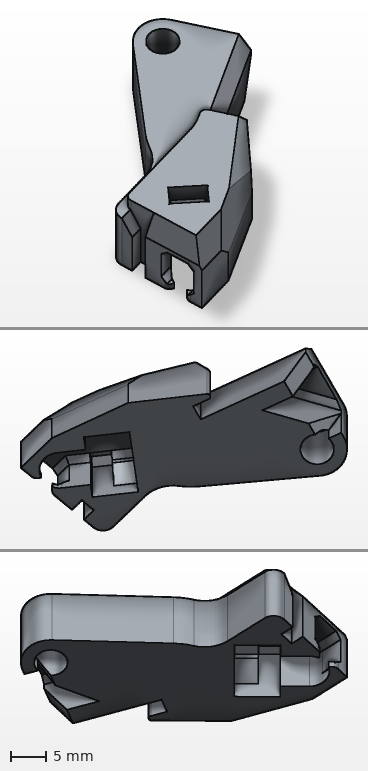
import cadquery as cq
import math


arm_height = 10.0
block_height = 12.0
arm_tilt = 20.0
bevel_angle = 58.0
steep_bevel_angle = 73.5
cutter_size = 80.0

pivot_radius = 4.25
pivot_hole_diameter = 4.75
arm_width = 11.8
arm_bevel_run = 1.8
lower_edge_angle = 48.5
elbow_start = (8.22, -15.68)
elbow_middle = (10.45, -17.64)
left_x = 12.83
elbow_end_y = -21.82
bottom_y = -30.66
stub_right_x = 16.65
stub_radius = 2.0

pocket_left_u = 0.8
pocket_right_u = 9.1
pocket_height = 7.8
undercut_height = 5.95
undercut_angle = 60.0

block_left_x = 13.95
block_left_u = 9.2
block_end_v = -12.47
block_front_y = -28.6
block_corner_radius = 1.0
block_bend_radius = 6.5
notch_right_x = 18.95
right_x = 28.82
outer_u = 18.8
tab_left_u = 14.16
tab_tip_radius = 0.44
tab_edge_angle = 130.0
outer_corner = (24.7, -12.72)
right_bevel_run = 2.5
outer_bevel_run = 1.78
diagonal_bevel_start = (18.1, -6.86)
diagonal_bevel_angle = 30.0

channel_x = 24.55
channel_width = 5.65
channel_bottom = 1.1
channel_top = 7.86
channel_chamfer = 1.0
channel_angle = 130.0
channel_overrun = 5.0
slot_width = 2.1
slot_mouth_radius = 1.2

window_center = (20.92, -22.93)
window_length = 5.6
tie_width = 3.1
saddle_height = 9.2
saddle_length = 4.8
saddle_drop = 0.6
tie_leg = 2.0


def from_arm(u, v):
    """XY position of a point given in the arm frame."""
    angle = math.radians(arm_tilt)
    return (
        u * math.cos(angle) - v * math.sin(angle),
        u * math.sin(angle) + v * math.cos(angle),
    )


def on_arm_line(u, x):
    """Point at the given x on the line of constant u."""
    angle = math.radians(arm_tilt)
    return (x, (u - x * math.cos(angle)) / math.sin(angle))


def polar(radius, degrees):
    """XY position at a radius and a heading about the origin."""
    angle = math.radians(degrees)
    return (radius * math.cos(angle), radius * math.sin(angle))


def bevel(point, height, facing, slope):
    """Cutter for all that lies above a sloped plane through a point, facing outward."""
    out_x, out_y = polar(1.0, facing)
    rise = math.radians(slope)
    plane = cq.Plane(
        origin=(point[0], point[1], height),
        xDir=(-out_y, out_x, 0),
        normal=(out_x * math.sin(rise), out_y * math.sin(rise), math.cos(rise)),
    )
    return cq.Workplane(plane).rect(cutter_size, cutter_size).extrude(cutter_size)


def make_arm():
    """Arm with its rounded pivot end, elbow and stub, bevelled along the right side."""
    lower_tangent = polar(pivot_radius, 270.0 - lower_edge_angle)
    upper_tangent = polar(pivot_radius, 90.0 + arm_tilt)
    arm = (
        cq.Workplane("XY")
        .moveTo(*upper_tangent)
        .threePointArc(polar(pivot_radius, 180.0), lower_tangent)
        .lineTo(*elbow_start)
        .tangentArcPoint(elbow_middle, relative=False)
        .tangentArcPoint((left_x, elbow_end_y), relative=False)
        .lineTo(left_x, bottom_y + stub_radius)
        .radiusArc((left_x + stub_radius, bottom_y), -stub_radius)
        .lineTo(stub_right_x, bottom_y)
        .lineTo(*on_arm_line(arm_width, stub_right_x))
        .lineTo(*from_arm(arm_width, pivot_radius))
        .close()
        .extrude(arm_height)
    )
    arm_bevel_start = from_arm(arm_width - arm_bevel_run, 0)
    arm = arm.cut(bevel(arm_bevel_start, arm_height, arm_tilt, bevel_angle))
    stub_bevel_start = (stub_right_x - arm_bevel_run, bottom_y)
    return arm.cut(bevel(stub_bevel_start, arm_height, 0, bevel_angle))


def tab_apex():
    """Sharp tip of the tab, where its inner side meets the outer edge of the block."""
    edge_x, edge_y = polar(1.0, tab_edge_angle)
    across_x, across_y = polar(1.0, arm_tilt)
    corner_u = outer_corner[0] * across_x + outer_corner[1] * across_y
    distance = (tab_left_u - corner_u) / (edge_x * across_x + edge_y * across_y)
    return (outer_corner[0] + distance * edge_x, outer_corner[1] + distance * edge_y)


def round_upright_edge(solid, corner, radius):
    """Fillet the vertical edge of the block that stands nearest to a corner point."""
    nearest = cq.selectors.NearestToPointSelector((*corner, block_height / 2))
    return solid.edges(nearest).fillet(radius)


def make_block():
    """Taller block with the pointed tab, bevelled around its top."""
    outline = [
        (block_left_x, block_front_y),
        on_arm_line(block_left_u, block_left_x),
        from_arm(block_left_u, block_end_v),
        from_arm(tab_left_u, block_end_v),
        tab_apex(),
        outer_corner,
        on_arm_line(outer_u, right_x),
        (right_x, bottom_y),
        (notch_right_x, bottom_y),
        (notch_right_x, block_front_y),
    ]
    block = cq.Workplane("XY").polyline(outline).close().extrude(block_height)
    block = round_upright_edge(block, outline[0], block_corner_radius)
    block = round_upright_edge(block, outline[1], block_bend_radius)
    block = round_upright_edge(block, outline[2], block_corner_radius)
    block = round_upright_edge(block, tab_apex(), tab_tip_radius)

    bevels = [
        ((right_x - right_bevel_run, 0), 0, bevel_angle),
        ((0, block_front_y), 270, bevel_angle),
        (from_arm(outer_u - outer_bevel_run, 0), arm_tilt, steep_bevel_angle),
        (diagonal_bevel_start, diagonal_bevel_angle, bevel_angle),
        (from_arm(0, block_end_v), 90 + arm_tilt, bevel_angle),
    ]
    for point, facing, slope in bevels:
        block = block.cut(bevel(point, block_height, facing, slope))
    return block


def cut_arm_end(body):
    """Undercut of the arm end, and the pocket that opens into it."""
    run = undercut_height / math.tan(math.radians(undercut_angle))
    undercut = (
        cq.Workplane("YZ")
        .polyline([(pivot_radius, undercut_height), (pivot_radius - run, 0), (pivot_radius, 0)])
        .close()
        .extrude(arm_width - pocket_left_u)
        .translate((pocket_left_u, 0, 0))
    )
    depth = pocket_right_u - pocket_left_u
    pocket = (
        cq.Workplane("XY")
        .polyline([
            (pocket_left_u, pivot_radius),
            (pocket_right_u, pivot_radius),
            (pocket_right_u, pivot_radius - depth),
        ])
        .close()
        .extrude(pocket_height)
        .faces(">Z").edges("not >Y").chamfer(channel_chamfer)
    )
    cutter = undercut.union(pocket).rotate((0, 0, 0), (0, 0, 1), arm_tilt)
    return body.cut(cutter)


def channel_run(length, floor_opening):
    """Straight length of channel along +Y from the origin, open below over the given width."""
    height = channel_top - channel_bottom
    bore = (
        cq.Workplane("XY")
        .box(channel_width, length, height, centered=(True, False, False))
        .edges("|Y").chamfer(channel_chamfer)
        .translate((0, 0, channel_bottom))
    )
    opening_height = channel_bottom + channel_chamfer
    slot = cq.Workplane("XY").box(floor_opening, length, opening_height, centered=(True, False, False))
    return bore.union(slot)


def channel_flare(length):
    """Outward flare of the lower channel walls along +Y, down to the underside."""
    inner_half = channel_width / 2
    outer_half = inner_half + tie_leg
    flare_drop = tie_leg * math.tan(math.radians(bevel_angle))
    half = [
        (inner_half, undercut_height),
        (outer_half, undercut_height - flare_drop),
        (outer_half, 0),
    ]
    mirrored = [(-x, z) for x, z in reversed(half)]
    return cq.Workplane("XZ").polyline(half + mirrored).close().extrude(-length)


def along_channel(solid, place):
    """Turn a solid from the Y direction to the channel heading and move it to a place."""
    return solid.rotate((0, 0, 0), (0, 0, 1), channel_angle - 90).translate((*place, 0))


def slot_mouth():
    """Slot entry with its two lips rounded, starting at the origin and going along +Y."""
    slot_half = slot_width / 2
    mouth_half = slot_half + slot_mouth_radius
    return (
        cq.Workplane("XY")
        .moveTo(-mouth_half, 0)
        .radiusArc((-slot_half, slot_mouth_radius), -slot_mouth_radius)
        .lineTo(slot_half, slot_mouth_radius)
        .radiusArc((mouth_half, 0), -slot_mouth_radius)
        .close()
        .extrude(channel_bottom + channel_chamfer)
    )


def cut_channel(body):
    """Channel from the front face, bent toward the tie window, with its slot and flare."""
    heading = math.radians(channel_angle)
    bend_y = window_center[1] - (window_center[0] - channel_x) * math.tan(heading)
    beyond = math.hypot(window_center[0] - channel_x, window_center[1] - bend_y) + channel_overrun
    entry = channel_run(bend_y - bottom_y, slot_width).translate((channel_x, bottom_y, 0))
    inner = along_channel(channel_run(beyond, channel_width), (channel_x, bend_y))
    flare = along_channel(channel_flare(channel_overrun), window_center)
    mouth = slot_mouth().translate((channel_x, bottom_y, 0))
    knee = (
        cq.Workplane("XY")
        .circle(channel_width / 2)
        .extrude(channel_top)
        .faces(">Z").edges().chamfer(channel_chamfer)
        .translate((channel_x, bend_y, 0))
    )
    return body.cut(entry).cut(inner).cut(flare).cut(knee).cut(mouth)


def cut_tie_loop(body):
    """Window over a saddle, with a leg down each side of the channel for a cable tie."""
    saddle_half = saddle_length / 2
    core_half = channel_width / 2
    roof_half = core_half - channel_chamfer
    outer_half = core_half + tie_leg
    half = [
        (window_length / 2, block_height),
        (outer_half, saddle_height),
        (outer_half, 0),
        (roof_half, 0),
        (roof_half, channel_top),
        (core_half, saddle_height - saddle_drop),
        (saddle_half, saddle_height),
    ]
    mirrored = [(-x, z) for x, z in reversed(half)]
    loop = (
        cq.Workplane("XZ")
        .polyline(half + mirrored)
        .close()
        .extrude(tie_width / 2, both=True)
    )
    return body.cut(along_channel(loop, window_center))


body = make_arm().union(make_block())
body = body.cut(cq.Workplane("XY").circle(pivot_hole_diameter / 2).extrude(arm_height))
body = cut_arm_end(body)
body = cut_channel(body)
result = cut_tie_loop(body)